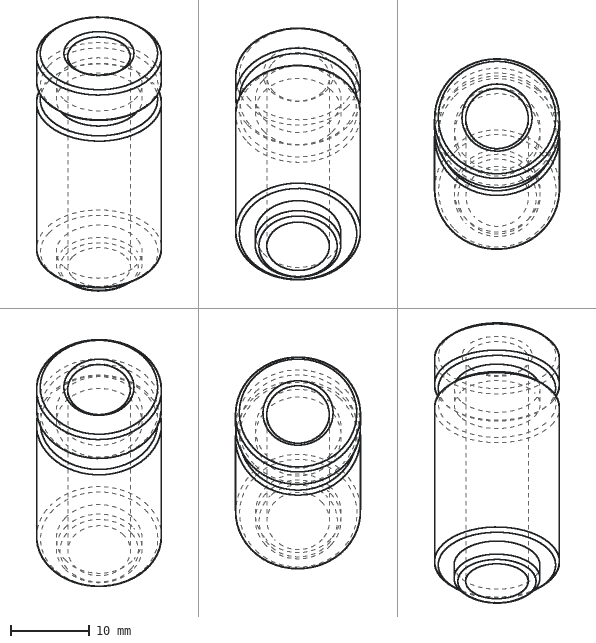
import cadquery as cq

total_length = 34.8
outer_diameter = 16.0
neck_diameter = 11.0
bore_diameter = 8.0
head_length = 5.0
neck_length = 2.5
tail_length = 2.5
edge_chamfer = 0.5

body_length = total_length - head_length - neck_length - tail_length
body_top = tail_length + body_length
head_bottom = body_top + neck_length


def cylinder(diameter, length, base_height):
    """Upright cylinder on the Z axis."""
    return cq.Workplane("XY").workplane(offset=base_height).circle(diameter / 2).extrude(length)


core = cylinder(neck_diameter, total_length, 0).faces("<Z").chamfer(edge_chamfer)

body = cylinder(outer_diameter, body_length, tail_length).faces("<Z or >Z").chamfer(edge_chamfer)
head = cylinder(outer_diameter, head_length, head_bottom).faces("<Z or >Z").chamfer(edge_chamfer)

sleeve = core.union(body).union(head).cut(cylinder(bore_diameter, total_length, 0))
mouth_edge = cq.selectors.RadiusNthSelector(0)
result = sleeve.faces(">Z").edges(mouth_edge).chamfer(edge_chamfer)